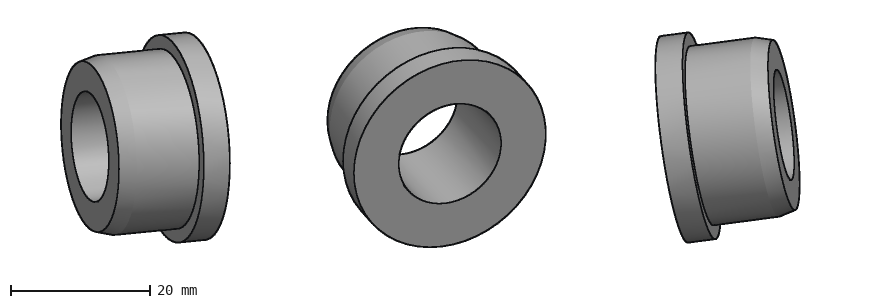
import cadquery as cq
import math

flange_diameter = 30.0
flange_thickness = 4.0
body_diameter = 26.0
bore_diameter = 16.0
total_length = 16.0
lead_in_length = 2.45
lead_in_angle = 15.0

flange_radius = flange_diameter / 2
body_radius = body_diameter / 2
bore_radius = bore_diameter / 2
tip_radius = body_radius - lead_in_length * math.tan(math.radians(lead_in_angle))
flange_start = total_length - flange_thickness

half_section = (
    cq.Workplane("XY")
    .moveTo(bore_radius, 0)
    .lineTo(tip_radius, 0)
    .lineTo(body_radius, lead_in_length)
    .lineTo(body_radius, flange_start)
    .lineTo(flange_radius, flange_start)
    .lineTo(flange_radius, total_length)
    .lineTo(bore_radius, total_length)
    .close()
)

result = half_section.revolve(360, (0, 0, 0), (0, 1, 0))